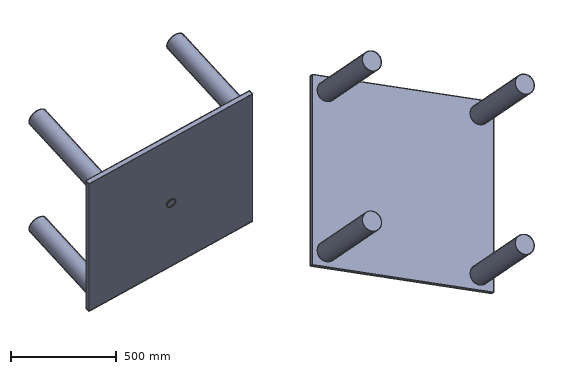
import cadquery as cq

plate_side = 950.0
plate_thickness = 25.0
overall_depth = 530.0
leg_length = 500.0
leg_diameter = 100.0
leg_spacing = 800.0
boss_diameter = 50.0

boss_height = overall_depth - leg_length - plate_thickness

plate = cq.Workplane("YZ").rect(plate_side, plate_side).extrude(plate_thickness)

legs = (
    cq.Workplane("YZ")
    .rect(leg_spacing, leg_spacing, forConstruction=True)
    .vertices()
    .circle(leg_diameter / 2)
    .extrude(-leg_length)
)

boss = (
    cq.Workplane("YZ")
    .workplane(offset=plate_thickness)
    .circle(boss_diameter / 2)
    .extrude(boss_height)
)

result = plate.union(legs).union(boss)